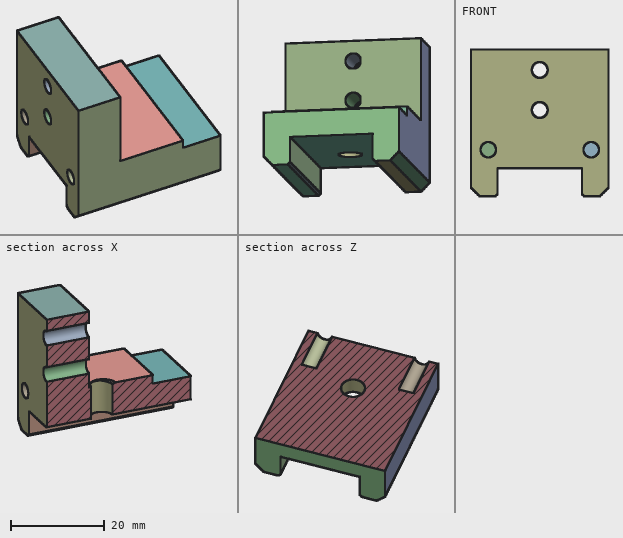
import cadquery as cq
import math

width = 29.5
length = 34.0
height = 31.5

wall_thickness = 10.0
seat_height = 13.53
seat_end = 25.02
ledge_height = 11.53

channel_width = 18.0
channel_height = 6.0
outer_chamfer = 1.9
inner_chamfer = 0.5

bolt_diameter = 3.33
bolt_heights = (18.5, 27.05)
dowel_diameter = 3.3
dowel_spacing = 22.03
dowel_height = 10.0
dowel_depth = wall_thickness

seat_hole_diameter = 5.03
seat_hole_y = 13.0
sink_diameter = 5.5
sink_offset = 0.35
sink_angle = 120.0


def make_body():
    """L-shaped block with a stepped top, extruded across the width."""
    profile = [
        (0, 0),
        (length, 0),
        (length, ledge_height),
        (seat_end, ledge_height),
        (seat_end, seat_height),
        (wall_thickness, seat_height),
        (wall_thickness, height),
        (0, height),
    ]
    return cq.Workplane("YZ").polyline(profile).close().extrude(width / 2, both=True)


def extrude_along_length(points):
    """Prism with the given XZ outline, running the full length in Y."""
    return cq.Workplane("XZ").polyline(points).close().extrude(-length)


def make_channel():
    """Underside channel, flared at its mouth by the inner leg chamfers."""
    half = channel_width / 2
    mouth = half + inner_chamfer
    return extrude_along_length([
        (-mouth, 0),
        (-half, inner_chamfer),
        (-half, channel_height),
        (half, channel_height),
        (half, inner_chamfer),
        (mouth, 0),
    ])


def make_outer_chamfer(side):
    """Corner wedge removed from the outer bottom edge of one leg."""
    edge = side * width / 2
    return extrude_along_length([
        (edge, 0),
        (edge - side * outer_chamfer, 0),
        (edge, outer_chamfer),
    ])


def make_front_holes(points, diameter, depth):
    """Round holes drilled into the front face at the given XZ points."""
    return cq.Workplane("XZ").pushPoints(points).circle(diameter / 2).extrude(-depth)


def make_seat_hole():
    """Vertical through hole joined with its offset conical countersink."""
    drill = cq.Workplane("XY").center(0, seat_hole_y).circle(seat_hole_diameter / 2).extrude(seat_height)
    sink_radius = sink_diameter / 2
    sink_depth = sink_radius / math.tan(math.radians(sink_angle / 2))
    tip = cq.Vector(0, seat_hole_y + sink_offset, seat_height - sink_depth)
    sink = cq.Solid.makeCone(0, sink_radius, sink_depth, tip)
    return drill.union(cq.Workplane(obj=sink))


bolt_points = [(0, z) for z in bolt_heights]
dowel_points = [(side * dowel_spacing / 2, dowel_height) for side in (-1, 1)]

result = make_body().cut(make_channel())
for side in (-1, 1):
    result = result.cut(make_outer_chamfer(side))
result = result.cut(make_front_holes(bolt_points, bolt_diameter, wall_thickness))
result = result.cut(make_front_holes(dowel_points, dowel_diameter, dowel_depth))
result = result.cut(make_seat_hole())